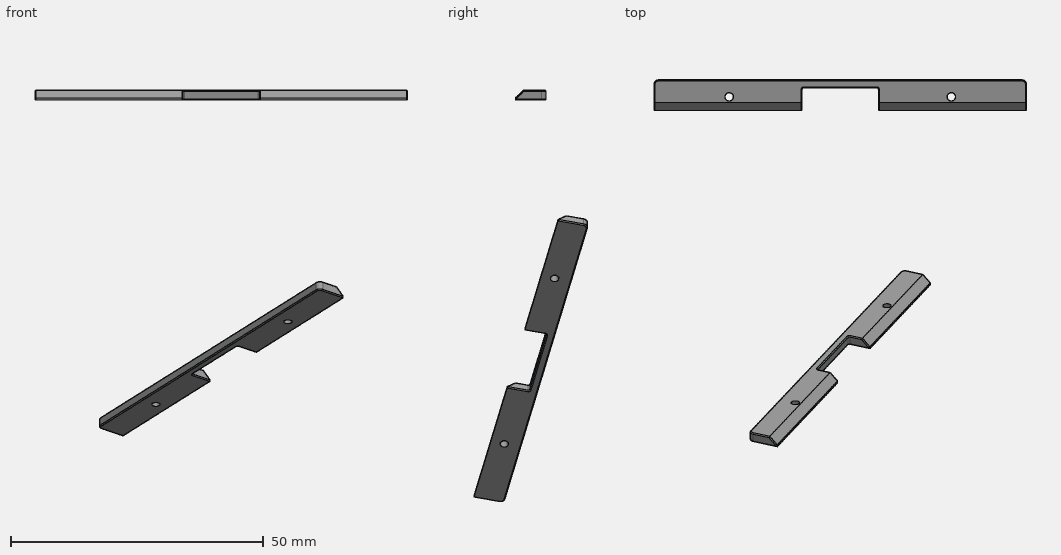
import cadquery as cq

length = 73.8
width = 6.1
height = 2.0

lip_height = 0.45
slope_run = 1.6

notch_width = 15.05
back_wall = 1.6
notch_corner_radius = 0.3

hole_diameter = 1.6
hole_spacing = 44.0
hole_from_front = 2.7

back_corner_radius = 0.95
edge_chamfer = 0.2

front_y = -width / 2
back_y = width / 2
crest_y = front_y + slope_run
notch_depth = width - back_wall


def sloped_bar():
    """Bar along X with the sloped front edge and rounded back corners."""
    return (
        cq.Workplane("YZ")
        .moveTo(front_y, 0)
        .lineTo(back_y, 0)
        .lineTo(back_y, height)
        .lineTo(crest_y, height)
        .lineTo(front_y, lip_height)
        .close()
        .extrude(length / 2, both=True)
        .edges("|Z and >Y")
        .fillet(back_corner_radius)
    )


def notch():
    """Cutter for the middle notch, with rounded inner corners."""
    return (
        cq.Workplane("XY")
        .rect(notch_width, notch_depth)
        .extrude(height)
        .edges("|Z and >Y")
        .fillet(notch_corner_radius)
        .translate((0, front_y + notch_depth / 2, 0))
    )


def break_edges(body):
    """Chamfer the rims of the ends, the back and the notch.

    The long front edges and the rounded upright corners are left as they are.
    """
    front_zone = cq.selectors.BoxSelector(
        (-length, front_y - edge_chamfer, -edge_chamfer),
        (length, crest_y + edge_chamfer, height + edge_chamfer),
    )
    long_front_edges = body.edges("|X").edges(front_zone)
    front_uprights = body.edges("|Z").edges(front_zone).vals()
    rounded_uprights = [edge for edge in body.edges("|Z").vals() if edge not in front_uprights]
    kept = long_front_edges.vals() + rounded_uprights
    rims = [edge for edge in body.edges().vals() if edge not in kept]
    return body.newObject(rims).chamfer(edge_chamfer)


def screw_holes():
    """Cutters for the two through holes."""
    hole_y = front_y + hole_from_front
    return (
        cq.Workplane("XY")
        .pushPoints([(side * hole_spacing / 2, hole_y) for side in (-1, 1)])
        .circle(hole_diameter / 2)
        .extrude(height)
    )


result = break_edges(sloped_bar().cut(notch())).cut(screw_holes())